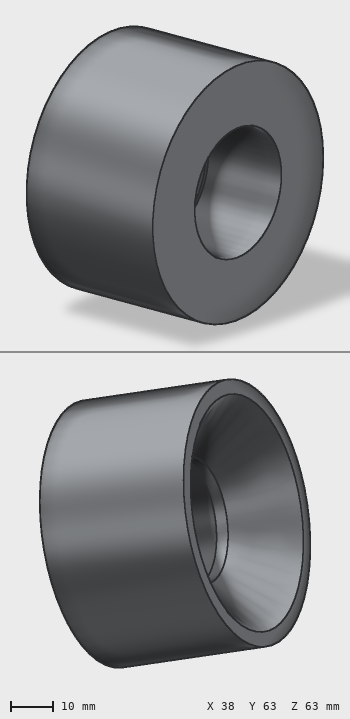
import cadquery as cq

length = 38.0
outer_diameter = 63.0
mouth_diameter = 56.0
throat_diameter = 30.0
socket_diameter = 32.0
cone_depth = 13.0
throat_length = 3.0

throat_end = cone_depth + throat_length

half_section = (
    cq.Workplane("XY")
    .moveTo(0, mouth_diameter / 2)
    .lineTo(cone_depth, throat_diameter / 2)
    .lineTo(throat_end, throat_diameter / 2)
    .lineTo(throat_end, socket_diameter / 2)
    .lineTo(length, socket_diameter / 2)
    .lineTo(length, outer_diameter / 2)
    .lineTo(0, outer_diameter / 2)
    .close()
)

result = half_section.revolve(360, (0, 0, 0), (1, 0, 0))